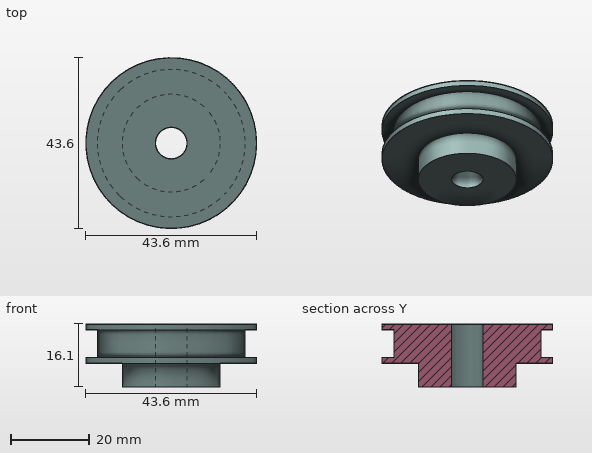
import cadquery as cq

flange_diameter = 43.6
groove_diameter = 37.7
hub_diameter = 25.0
bore_diameter = 8.0

total_height = 16.1
flange_thickness = 1.5
groove_width = 7.0
hub_height = total_height - groove_width - 2 * flange_thickness


def add_disc(body, diameter, height):
    """Stack a coaxial disc on the top face of the body."""
    return body.faces(">Z").workplane().circle(diameter / 2).extrude(height)


pulley = cq.Workplane("XY").circle(hub_diameter / 2).extrude(hub_height)
pulley = add_disc(pulley, flange_diameter, flange_thickness)
pulley = add_disc(pulley, groove_diameter, groove_width)
pulley = add_disc(pulley, flange_diameter, flange_thickness)

result = pulley.faces(">Z").workplane().hole(bore_diameter)